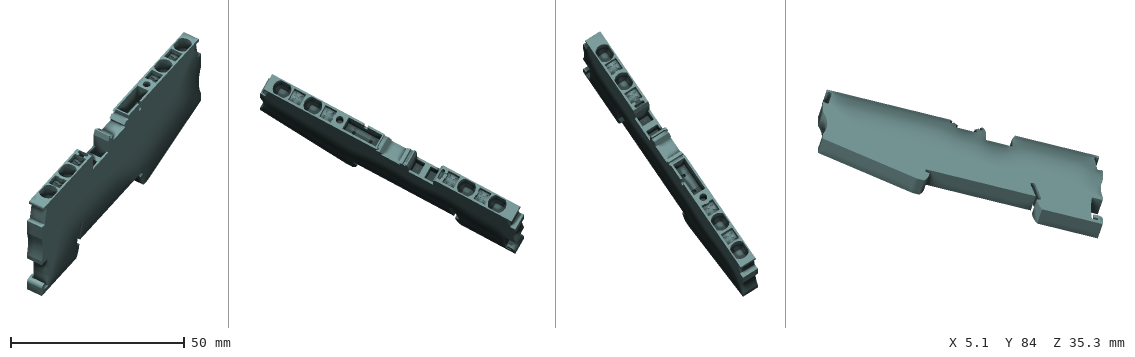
import cadquery as cq
import math

WIDTH = 5.1
LENGTH = 84.0
HEIGHT = 35.3
END = LENGTH / 2
SIDE = WIDTH / 2

RAIL_Z = 6.05
JAW_Z = 4.5
JAW_ROOT_Z = 4.9
SPRING_SLOT_TOP_Z = 12.7
SPRING_SLOT_SIDE_Z = 11.9
RELEASE_TOP_Z = 12.7

END_FACE_TOP_Z = 28.2
WELL_CENTRE_Y = -1.0
WELL_Z = 32.0
TRENCH_Z = 29.2
TRENCH_HIGH_Y = -6.9
TRENCH_LOW_Y = -14.9
TRENCH_RAMP_Z = 33.6
RAMP_TOP_Y = -15.6
LATCH_OUTER_Y = -6.2
LATCH_CHANNEL_Y = 4.9
LATCH_LIP_Z = 34.8
LATCH_BARB_Z = 34.3

TAB_EDGE_X = -1.85
HOOK_POST_Y = -40.6
HOOK_NOSE_Y = -39.2
HOOK_ROUND_Y = -40.7
HOOK_NOSE_Z = 2.5
HOOK_TOP_Z = 4.0

POCKET_WIDTH = 3.9
SCREW_POCKET_LENGTH = 3.8
SCREW_POCKET_DEPTH = 2.1
SCREW_POCKETS = ((31.25, 0), (21.0, -1), (-19.5, 1), (-29.8, 1))
CROSS_LENGTH = 5.0
CROSS_WIDTH = 0.8
CROSS_SPAN_Y = 2.3
CROSS_DEPTH = 0.3
RIB_WIDTH = 1.3
RIB_HEIGHT = 0.25

FUNNELS_Y = (36.2, 26.0, -24.5, -34.6)
FUNNEL_RADIUS = 2.7
FUNNEL_FLAT_X = 2.2
FUNNEL_END_ANGLE = 65.0
FUNNEL_MOUTH_DEPTH = 4.2
FUNNEL_TAPER_DEPTH = 1.7
FUNNEL_FLOOR_HALF_X = 1.4
FUNNEL_FLOOR_HALF_Y = 1.4
FUNNEL_FLOOR_CORNER = 0.6
FUNNEL_FLOOR_SHIFT = -0.2

TEST_HOLE_Y = 17.2
TEST_HOLE_DIAMETER = 2.3
TEST_HOLE_DEPTH = 5.0

BRIDGE_POCKET_Y = (4.3, 15.3)
BRIDGE_POCKET_DEPTH = 6.7
BRIDGE_SLOTS_Y = (12.6, 7.05)
BRIDGE_SLOT_LENGTH = 0.9
BRIDGE_STEP_DEPTH = 0.25
BRIDGE_STEP_X = 1.8
BRIDGE_GROOVE_X = (-0.5, -0.25, 0.7)
BRIDGE_GROOVE_DEPTH = 1.3
WALL_NOTCH_Y = 9.8
WALL_NOTCH_WIDTH = 1.3
WALL_NOTCH_DEPTH = 3.0

TRENCH_POCKETS_Y = ((-9.9, TRENCH_HIGH_Y), (TRENCH_LOW_Y, -11.7))
TRENCH_POCKET_DEPTH = 5.0

PEG_RECESS_Y = (-16.8, -15.7)
PEG_RECESS_WIDTH = 3.3
PEG_RECESS_DEPTH = 2.5
PEG_RECESS_CORNER = 0.5
PEG_RAMP_WIDTH = 1.7
PEG_RAMP_DEPTH = 1.0
PEG_RAMP_END_Y = -17.7


def upper_end(sign):
    """Marker lip and sloped neck of one end, from the upper edge down to the end face."""
    points = [
        (40.7, HEIGHT), (40.9, 35.0), (40.9, 34.3), (40.4, 34.0), (40.2, 34.3),
        (39.7, 34.3), (39.4, 33.9), (40.4, 28.0), (41.3, 28.0), (41.4, END_FACE_TOP_Z),
        (END, END_FACE_TOP_Z),
    ]
    return [(sign * y, z) for y, z in points]


def latch(sign):
    """Label latch beside the well, from the upper edge down to the well floor."""
    points = [
        (4.7, HEIGHT), (4.2, LATCH_LIP_Z), (LATCH_CHANNEL_Y, LATCH_LIP_Z), (LATCH_CHANNEL_Y, 33.8),
        (4.0, 33.8), (3.7, LATCH_BARB_Z), (2.5, 33.3), (3.1, 33.3), (3.1, WELL_Z),
    ]
    return [(WELL_CENTRE_Y + sign * y, z) for y, z in points]


def chain(wire, points):
    """Continue the outline with straight lines through the points."""
    for point in points:
        wire = wire.lineTo(*point)
    return wire


def profile():
    """Side outline extruded across the width, drawn counter-clockwise from the +Y end."""
    wire = cq.Workplane("YZ").moveTo(END, END_FACE_TOP_Z)
    wire = chain(wire, reversed(upper_end(1)[:-1]))
    wire = chain(wire, latch(1))
    wire = chain(wire, reversed(latch(-1)))
    wire = chain(wire, [
        (LATCH_OUTER_Y, HEIGHT), (TRENCH_HIGH_Y, TRENCH_RAMP_Z), (TRENCH_HIGH_Y, TRENCH_Z),
        (TRENCH_LOW_Y, TRENCH_Z), (TRENCH_LOW_Y, TRENCH_RAMP_Z), (RAMP_TOP_Y, HEIGHT),
    ])
    wire = chain(wire, upper_end(-1))

    wire = wire.lineTo(-END, 23.3).threePointArc((-41.4, 18.7), (-END, 14.2))
    wire = chain(wire, [
        (-END, RELEASE_TOP_Z), (-38.7, RELEASE_TOP_Z), (-38.5, 8.6), (-38.5, 5.0), (-38.7, 1.5),
        (HOOK_POST_Y, 1.5), (HOOK_POST_Y, HOOK_NOSE_Z), (HOOK_NOSE_Y, HOOK_NOSE_Z),
        (HOOK_NOSE_Y, HOOK_TOP_Z), (HOOK_ROUND_Y, HOOK_TOP_Z),
    ])
    wire = wire.threePointArc((-41.6, 3.7), (-END, 3.0))

    wire = chain(wire, [(-END, 0), (-23.8, 0)])
    wire = wire.threePointArc((-22.7, 2.2), (-22.2, JAW_Z))
    wire = chain(wire, [(-23.4, JAW_ROOT_Z), (-23.4, RAIL_Z), (-21.8, SPRING_SLOT_SIDE_Z)])
    wire = wire.threePointArc((-21.0, SPRING_SLOT_TOP_Z), (-20.25, SPRING_SLOT_SIDE_Z))

    wire = chain(wire, [(-21.8, RAIL_Z), (11.3, RAIL_Z), (11.3, JAW_ROOT_Z), (10.1, JAW_Z)])
    wire = wire.threePointArc((10.5, 2.2), (11.7, 0))
    wire = wire.lineTo(13.3, 0).threePointArc((14.0, 0.1), (14.8, 0.3))

    wire = wire.lineTo(END, 8.9).lineTo(END, 11.7)
    return wire.threePointArc((40.8, 17.3), (END, 22.9)).close()


def box(x_range, y_range, z_range):
    """Block given by its low and high coordinate along each axis."""
    size = [high - low for low, high in (x_range, y_range, z_range)]
    corner = (x_range[0], y_range[0], z_range[0])
    return cq.Workplane("XY").box(*size, centered=False).translate(corner)


def top_pocket(y_range, depth, top=HEIGHT):
    """Rectangular pocket of the common width, centred across the part."""
    half = POCKET_WIDTH / 2
    return box((-half, half), y_range, (top - depth, top))


def screw_pocket(y, rib_side):
    """Square pocket with a cross recess in its floor and, unless rib_side is 0, a rib on one wall."""
    half = SCREW_POCKET_LENGTH / 2
    floor = HEIGHT - SCREW_POCKET_DEPTH
    pocket = top_pocket((y - half, y + half), SCREW_POCKET_DEPTH)
    if rib_side:
        rib_y = y + rib_side * (half - RIB_HEIGHT / 2)
        pocket = pocket.cut(
            cq.Workplane("XY").box(RIB_WIDTH, RIB_HEIGHT, SCREW_POCKET_DEPTH)
            .translate((0, rib_y, HEIGHT - SCREW_POCKET_DEPTH / 2))
        )
    cross_limit = cq.Workplane("XY").box(POCKET_WIDTH, CROSS_SPAN_Y, 2 * CROSS_DEPTH)
    for angle in (45, -45):
        bar = cq.Workplane("XY").box(CROSS_LENGTH, CROSS_WIDTH, 2 * CROSS_DEPTH)
        bar = bar.rotate((0, 0, 0), (0, 0, 1), angle).intersect(cross_limit)
        pocket = pocket.union(bar.translate((0, y, floor)))
    return pocket


def funnel_mouth(plane):
    """Circle cut by two flats; each round end is split in three to pair with the floor's edges."""
    def on_circle(degrees):
        angle = math.radians(degrees)
        return (FUNNEL_RADIUS * math.cos(angle), FUNNEL_RADIUS * math.sin(angle))

    flat = math.degrees(math.acos(FUNNEL_FLAT_X / FUNNEL_RADIUS))
    end = FUNNEL_END_ANGLE
    wire = plane.moveTo(*on_circle(-flat)).lineTo(*on_circle(flat))
    for turn in (0, 180):
        stops = [turn + flat, turn + end, turn + 180 - end, turn + 180 - flat]
        for start, stop in zip(stops, stops[1:]):
            wire = wire.threePointArc(on_circle((start + stop) / 2), on_circle(stop))
        if turn == 0:
            wire = wire.lineTo(*on_circle(180 + flat))
    return wire.close()


def funnel_floor(plane):
    """Rectangle with quarter-round corners."""
    x, y, r = FUNNEL_FLOOR_HALF_X, FUNNEL_FLOOR_HALF_Y, FUNNEL_FLOOR_CORNER
    inset = r * (1 - math.sqrt(0.5))
    wire = plane.moveTo(x, r - y).lineTo(x, y - r)
    wire = wire.threePointArc((x - inset, y - inset), (x - r, y)).lineTo(r - x, y)
    wire = wire.threePointArc((inset - x, y - inset), (-x, y - r)).lineTo(-x, r - y)
    wire = wire.threePointArc((inset - x, inset - y), (r - x, -y)).lineTo(x - r, -y)
    return wire.threePointArc((x - inset, inset - y), (x, r - y)).close()


def wire_funnel(y):
    """Wire entry: a straight mouth with flat sides, then a taper to a rounded rectangle."""
    taper_plane = cq.Workplane("XY", origin=(0, y, HEIGHT - FUNNEL_MOUTH_DEPTH))
    mouth = funnel_mouth(taper_plane).extrude(FUNNEL_MOUTH_DEPTH)
    floor_plane = funnel_mouth(taper_plane).workplane(offset=-FUNNEL_TAPER_DEPTH)
    floor_plane = floor_plane.center(0, FUNNEL_FLOOR_SHIFT)
    return mouth.union(funnel_floor(floor_plane).loft(ruled=True))


def test_hole():
    """Blind round hole between the screw pockets and the long pocket."""
    hole = cq.Workplane("XY").circle(TEST_HOLE_DIAMETER / 2).extrude(TEST_HOLE_DEPTH)
    return hole.translate((0, TEST_HOLE_Y, HEIGHT - TEST_HOLE_DEPTH))


def bridge_pocket():
    """Long pocket whose floor has two stepped slots, each with a V-groove in its middle."""
    floor = HEIGHT - BRIDGE_POCKET_DEPTH
    step = floor - BRIDGE_STEP_DEPTH
    low_x, bottom_x, high_x = BRIDGE_GROOVE_X
    pocket = top_pocket(BRIDGE_POCKET_Y, BRIDGE_POCKET_DEPTH)
    for y in BRIDGE_SLOTS_Y:
        y_range = (y - BRIDGE_SLOT_LENGTH / 2, y + BRIDGE_SLOT_LENGTH / 2)
        pocket = pocket.union(box((-BRIDGE_STEP_X, BRIDGE_STEP_X), y_range, (step, floor)))
        groove = (
            cq.Workplane("XZ", origin=(0, y, 0))
            .polyline([(low_x, step), (bottom_x, step - BRIDGE_GROOVE_DEPTH), (high_x, step)]).close()
            .extrude(BRIDGE_SLOT_LENGTH / 2, both=True)
        )
        pocket = pocket.union(groove)
    return pocket


def wall_notch():
    """Round-bottomed notch through the +X wall of the long pocket."""
    radius = WALL_NOTCH_WIDTH / 2
    round_z = HEIGHT - WALL_NOTCH_DEPTH + radius
    notch = (
        cq.Workplane("YZ").moveTo(WALL_NOTCH_Y - radius, HEIGHT).lineTo(WALL_NOTCH_Y - radius, round_z)
        .threePointArc((WALL_NOTCH_Y, round_z - radius), (WALL_NOTCH_Y + radius, round_z))
        .lineTo(WALL_NOTCH_Y + radius, HEIGHT).close()
    )
    return notch.extrude(SIDE)


def peg_recess():
    """Wide round-cornered recess with a narrower ramp climbing from it towards -Y."""
    half = PEG_RECESS_WIDTH / 2
    floor = HEIGHT - PEG_RECESS_DEPTH
    low_y = PEG_RECESS_Y[0]
    recess = box((-half, half), PEG_RECESS_Y, (floor, HEIGHT)).edges("|Z").fillet(PEG_RECESS_CORNER)
    ramp = (
        cq.Workplane("YZ")
        .polyline([(low_y, HEIGHT), (low_y, HEIGHT - PEG_RAMP_DEPTH), (PEG_RAMP_END_Y, HEIGHT)]).close()
        .extrude(PEG_RAMP_WIDTH / 2, both=True)
    )
    return recess.union(ramp)


def tab_clearance():
    """Space beside the thin tabs: over both latches, and next to the release hook's nose."""
    over_latches = box(
        (TAB_EDGE_X, SIDE),
        (WELL_CENTRE_Y - LATCH_CHANNEL_Y, WELL_CENTRE_Y + LATCH_CHANNEL_Y),
        (LATCH_BARB_Z, HEIGHT),
    )
    beside_nose = box((TAB_EDGE_X, SIDE), (HOOK_POST_Y, HOOK_NOSE_Y), (HOOK_NOSE_Z, HOOK_TOP_Z))
    return over_latches, beside_nose


body = profile().extrude(SIDE, both=True)
for clearance in tab_clearance():
    body = body.cut(clearance)
for pocket_y, pocket_rib_side in SCREW_POCKETS:
    body = body.cut(screw_pocket(pocket_y, pocket_rib_side))
for funnel_y in FUNNELS_Y:
    body = body.cut(wire_funnel(funnel_y))
for trench_range in TRENCH_POCKETS_Y:
    body = body.cut(top_pocket(trench_range, TRENCH_POCKET_DEPTH, TRENCH_Z))
body = body.cut(test_hole())
body = body.cut(bridge_pocket())
body = body.cut(wall_notch())
body = body.cut(peg_recess())

result = body